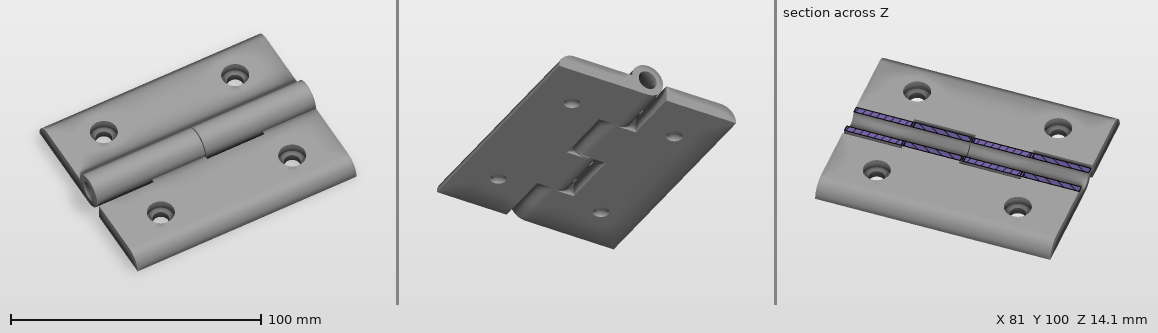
import cadquery as cq

length = 100.0
width = 81.0
knuckle_diameter = 14.1
leaf_thickness = knuckle_diameter / 2
bore_diameter = 8.2
edge_radius = 6.9

knuckle_length = 24.3
washer_thickness = 0.8
notch_reach = 8.6

screw_spacing_x = 47.0
screw_spacing_y = 60.0
screw_hole_diameter = 6.7
counterbore_diameter = 11.2
counterbore_depth = 4.0

half_length = length / 2
half_width = width / 2
axis_height = knuckle_diameter / 2
inner_start = half_length - knuckle_length - washer_thickness
inner_end = inner_start - knuckle_length
cut_margin = 1.0


def along_y(sketch_plane_y):
    """Workplane facing -Y, so that extruding by -d fills from this Y to Y + d."""
    return cq.Workplane("XZ", origin=(0, sketch_plane_y, 0))


def y_cylinder(diameter, y_start, y_length):
    """Cylinder on the hinge axis."""
    return along_y(y_start).center(0, axis_height).circle(diameter / 2).extrude(-y_length)


def make_plate():
    """Left plate reaching to the hinge axis, with a rounded outer edge."""
    return (
        along_y(-half_length)
        .moveTo(0, 0)
        .lineTo(-half_width, 0)
        .lineTo(-half_width, leaf_thickness - edge_radius)
        .radiusArc((-half_width + edge_radius, leaf_thickness), edge_radius)
        .lineTo(0, leaf_thickness)
        .close()
        .extrude(-length)
    )


def make_notch(y_start, y_end):
    """Block that clears the plate beside a knuckle of the other leaf."""
    notch_width = notch_reach + cut_margin
    notch_height = knuckle_diameter + 2 * cut_margin
    notch = cq.Workplane("XY").box(notch_width, y_end - y_start, notch_height, centered=False)
    return notch.translate((-notch_reach, y_start, -cut_margin))


def make_left_leaf():
    """Leaf with an outer knuckle at the -Y end and an inner knuckle on the +Y side."""
    leaf = make_plate()
    for y_start in (-half_length, inner_end):
        leaf = leaf.union(y_cylinder(knuckle_diameter, y_start, knuckle_length))

    leaf = leaf.cut(make_notch(-half_length + knuckle_length, inner_end))
    leaf = leaf.cut(make_notch(inner_start, half_length + cut_margin))

    leaf = leaf.cut(y_cylinder(bore_diameter, -half_length, length))
    return leaf.cut(make_screw_holes())


def make_screw_holes():
    """Cutting tool for the two counterbored holes of the left leaf."""
    spots = [(-screw_spacing_x / 2, side * screw_spacing_y / 2) for side in (-1, 1)]
    through = cq.Workplane("XY").pushPoints(spots).circle(screw_hole_diameter / 2).extrude(leaf_thickness)
    counterbores = (
        cq.Workplane("XY", origin=(0, 0, leaf_thickness))
        .pushPoints(spots)
        .circle(counterbore_diameter / 2)
        .extrude(-counterbore_depth)
    )
    return through.union(counterbores)


def make_washer(y_start):
    """Spacer ring between two neighbouring knuckles."""
    washer = y_cylinder(knuckle_diameter, y_start, washer_thickness)
    return washer.cut(y_cylinder(bore_diameter, y_start, washer_thickness))


left_leaf = make_left_leaf()
right_leaf = left_leaf.rotate((0, 0, 0), (0, 0, 1), 180)

washer_starts = (-half_length + knuckle_length, inner_end - washer_thickness, inner_start)
washers = [make_washer(y_start) for y_start in washer_starts]

result = cq.Compound.makeCompound(
    [left_leaf.val(), right_leaf.val(), *[washer.val() for washer in washers]]
)